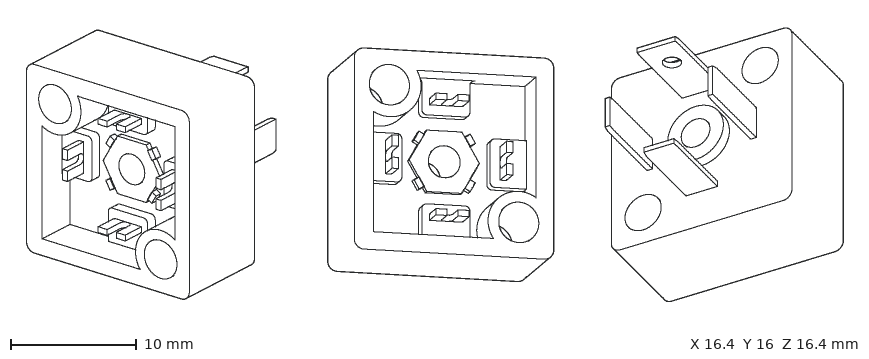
import cadquery as cq
import math

housing_side = 16.4
housing_depth = 8.5
housing_corner_radius = 0.8
overall_depth = 16.0

cavity_depth = 3.6
thick_wall_reach = 6.61
thin_wall_reach = 6.74
cavity_side = thick_wall_reach + thin_wall_reach
cavity_shift = (thin_wall_reach - thick_wall_reach) / 2

sleeve_offset = 5.31
sleeve_hole_diameter = 3.3
upper_sleeve_radius = 2.6
lower_sleeve_radius = 2.53

hexagon_across_flats = 5.0
hexagon_height = 0.5
tab_width = 0.85
tab_reach = 0.5
tab_height = 0.6
tab_center_shift = 0.55
collar_diameter = 5.05
collar_length = 1.0
center_hole_diameter = 2.6

pad_width = 3.95
pad_height = 1.0
pad_inner_reach = 3.62
pad_outer_reach = thick_wall_reach
pad_corner_radius = 0.41

terminal_reach = 4.7
terminal_thickness = 0.51
fork_width = 2.72
fork_recess = 0.51
fork_slot_width = 0.92
blade_width = 2.85
blade_length = 7.05
blade_tip_length = 0.55
blade_tip_inset = 0.074
wide_blade_width = 3.55
wide_blade_length = overall_depth - housing_depth
wide_blade_tip_length = 0.5
wide_blade_tip_inset = 0.03
wide_blade_hole_diameter = 1.53
wide_blade_hole_distance = 4.9

pad_face = cavity_depth - pad_height


def plane_at(depth):
    """XZ workplane at the given depth; its normal points to the front, so negative extrusion goes to +Y."""
    return cq.Workplane("XZ", origin=(0, depth, 0))


def around_axis(shape, angle):
    """Turn a shape about the Y axis."""
    return shape.rotate((0, 0, 0), (0, 1, 0), angle)


def make_housing():
    block = plane_at(0).rect(housing_side, housing_side).extrude(-housing_depth)
    block = block.edges("|Y").fillet(housing_corner_radius)
    cavity = (
        plane_at(0)
        .center(cavity_shift, -cavity_shift)
        .rect(cavity_side, cavity_side)
        .extrude(-cavity_depth)
    )
    for side, radius in ((-1, upper_sleeve_radius), (1, lower_sleeve_radius)):
        sleeve = (
            plane_at(0)
            .center(side * sleeve_offset, -side * sleeve_offset)
            .circle(radius)
            .extrude(-cavity_depth)
        )
        cavity = cavity.cut(sleeve)
    return block.cut(cavity)


def make_hexagon():
    corner_diameter = hexagon_across_flats / math.cos(math.pi / 6)
    return plane_at(cavity_depth - hexagon_height).polygon(6, corner_diameter).extrude(-hexagon_height)


def make_tab(side_x, side_z):
    """Retaining tab against one slanted side of the hexagon, nearer to its top or bottom corner."""
    tab = (
        plane_at(cavity_depth - tab_height)
        .center(hexagon_across_flats / 2 + tab_reach / 2, tab_center_shift)
        .rect(tab_reach, tab_width)
        .extrude(-tab_height)
    )
    tab = around_axis(tab, -30)
    if side_x < 0:
        tab = tab.mirror("YZ")
    if side_z < 0:
        tab = tab.mirror("XY")
    return tab


def make_pad():
    """Pad at the +Z wall, rounded at its inner corners."""
    length = pad_outer_reach - pad_inner_reach
    return (
        plane_at(pad_face)
        .center(0, pad_inner_reach + length / 2)
        .rect(pad_width, length)
        .extrude(-pad_height)
        .edges("|Y and <Z")
        .fillet(pad_corner_radius)
    )


def make_pad_flares():
    """Concave fillets that blend both sides of the +Z pad into the cavity wall."""
    radius = pad_corner_radius
    flare_center_z = pad_outer_reach - radius
    flares = (
        plane_at(pad_face)
        .center(0, pad_outer_reach - radius / 2)
        .rect(pad_width + 2 * radius, radius)
        .extrude(-pad_height)
    )
    rounds = (
        plane_at(pad_face)
        .pushPoints([(side * (pad_width / 2 + radius), flare_center_z) for side in (-1, 1)])
        .circle(radius)
        .extrude(-pad_height)
    )
    return flares.cut(rounds)


def make_fork():
    """Forked terminal tip above the +Z pad; the round slot end touches the pad face."""
    fork_length = cavity_depth - fork_recess
    fork = (
        plane_at(fork_recess)
        .center(0, terminal_reach)
        .rect(fork_width, terminal_thickness)
        .extrude(-fork_length)
    )
    slot_radius = fork_slot_width / 2
    slot_straight_end = pad_face - slot_radius
    slot = (
        cq.Workplane("XY", origin=(0, 0, terminal_reach - terminal_thickness / 2))
        .moveTo(-slot_radius, fork_recess)
        .lineTo(-slot_radius, slot_straight_end)
        .threePointArc((0, pad_face), (slot_radius, slot_straight_end))
        .lineTo(slot_radius, fork_recess)
        .close()
        .extrude(terminal_thickness)
    )
    return fork.cut(slot)


def make_blade(width, length, tip_length, side_inset):
    """Rear blade on the +Z side: its outer face slopes at the tip, its sides by side_inset."""
    root = housing_depth
    tip = root + length
    tip_start = tip - tip_length
    inner = terminal_reach - terminal_thickness / 2
    outer = inner + terminal_thickness
    side_profile = (
        cq.Workplane("YZ")
        .moveTo(root, inner)
        .lineTo(tip, inner)
        .lineTo(tip, outer - blade_tip_inset)
        .lineTo(tip_start, outer)
        .lineTo(root, outer)
        .close()
        .extrude(width / 2, both=True)
    )
    half_width = width / 2
    face_profile = (
        cq.Workplane("XY", origin=(0, 0, inner))
        .moveTo(-half_width, root)
        .lineTo(-half_width, tip_start)
        .lineTo(side_inset - half_width, tip)
        .lineTo(half_width - side_inset, tip)
        .lineTo(half_width, tip_start)
        .lineTo(half_width, root)
        .close()
        .extrude(terminal_thickness)
    )
    return side_profile.intersect(face_profile)


def make_wide_blade():
    """Wider, longer blade with a cross hole."""
    blade = make_blade(wide_blade_width, wide_blade_length, wide_blade_tip_length, wide_blade_tip_inset)
    hole = (
        cq.Workplane("XY", origin=(0, housing_depth + wide_blade_hole_distance, terminal_reach))
        .circle(wide_blade_hole_diameter / 2)
        .extrude(terminal_thickness, both=True)
    )
    return blade.cut(hole)


result = make_housing().union(make_hexagon())
for side_x in (-1, 1):
    for side_z in (-1, 1):
        result = result.union(make_tab(side_x, side_z))

for angle in (0, 90, 180, 270):
    result = result.union(around_axis(make_pad(), angle))
    result = result.union(around_axis(make_fork(), angle))
    if angle == 0:
        blade = make_wide_blade()
    else:
        blade = make_blade(blade_width, blade_length, blade_tip_length, blade_tip_inset)
    result = result.union(around_axis(blade, angle))
result = result.union(make_pad_flares())

collar = plane_at(housing_depth).circle(collar_diameter / 2).extrude(-collar_length)
result = result.union(collar)

center_hole = plane_at(0).circle(center_hole_diameter / 2).extrude(-overall_depth)
mounting_holes = (
    plane_at(0)
    .pushPoints([(side * sleeve_offset, -side * sleeve_offset) for side in (-1, 1)])
    .circle(sleeve_hole_diameter / 2)
    .extrude(-housing_depth)
)
result = result.cut(center_hole).cut(mounting_holes)